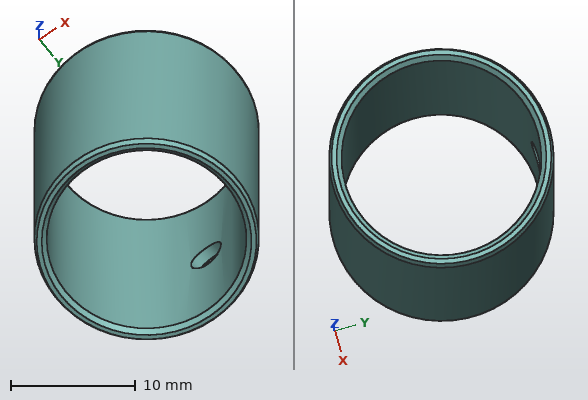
import cadquery as cq

OUTER_DIAMETER = 18.0
BORE_DIAMETER = 16.0
LENGTH = 20.0

OUTER_CHAMFER_LENGTH = 0.55
OUTER_CHAMFER_DEPTH = 0.2

BORE_CHAMFER = 0.4

OIL_HOLE_DIAMETER = 3.0


def sleeve():
    """Revolve the chamfered wall section about Z."""
    outer_radius = OUTER_DIAMETER / 2
    bore_radius = BORE_DIAMETER / 2
    top = LENGTH / 2
    outer_edge = outer_radius - OUTER_CHAMFER_DEPTH
    bore_edge = bore_radius + BORE_CHAMFER
    section = [
        (bore_radius, -top + BORE_CHAMFER),
        (bore_edge, -top),
        (outer_edge, -top),
        (outer_radius, -top + OUTER_CHAMFER_LENGTH),
        (outer_radius, top - OUTER_CHAMFER_LENGTH),
        (outer_edge, top),
        (bore_edge, top),
        (bore_radius, top - BORE_CHAMFER),
    ]
    return cq.Workplane("YZ").polyline(section).close().revolve(360, (0, 0, 0), (0, 1, 0))


def oil_hole():
    """Radial drill from the axis out past the +Y wall at mid length."""
    return cq.Workplane("XZ").circle(OIL_HOLE_DIAMETER / 2).extrude(-OUTER_DIAMETER)


result = sleeve().cut(oil_hole())